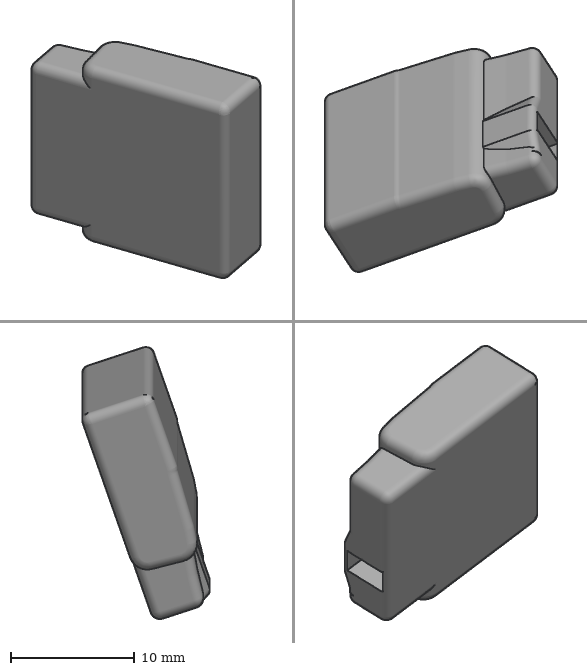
import cadquery as cq
import math

length = 18.6
depth = 6.1
height = 16.4

edge_radius = 0.8
end_radius = 0.65
corner_radius = 1.49
body_left = 4.61
left_lean = math.radians(4)
roof_flat_start = 12.1
roof_knee = 6.85
knee_radius = 2.23
gentle_slope = math.radians(3)
steep_slope = math.radians(8)

step_slope = math.radians(20)
step_crest_radius = 0.84
step_foot_radius = 0.63

arm_height = 14.17
arm_root = 6.7
arm_knee = 2.7
arm_knee_depth = 4.65
arm_end_slope = math.radians(5)
arm_knee_radius = 2.98

pad_center = -2.42
pad_depth = 4.98
pad_crest_width = 3.1
pad_ramp_slope = math.radians(20.3)
pad_foot_depth = 4.28
ledge_depth = 4.43
ledge_bottom = -5.9
pad_base_depth = 2.79
pad_radius = 0.63

slot_height = 2.15
slot_front = 0.52
slot_rear = pad_depth - pad_radius
slot_length = 3.72


def round_upright_edge(solid, point, radius):
    """Round the Z-parallel edge that passes through an XY point."""
    return solid.edges("|Z").edges(cq.selectors.NearestToPointSelector((*point, 0))).fillet(radius)


def arc_offset(radius, start_slope, end_slope):
    """XY travel along an arc whose slope changes from start_slope to end_slope."""
    along = radius * abs(math.sin(end_slope) - math.sin(start_slope))
    rise = radius * abs(math.cos(end_slope) - math.cos(start_slope))
    return along, rise


def add_knee(outline, knee, radius, right_slope, left_slope):
    """Continue an outline toward -X through a rounded corner between two shallow slopes."""
    setback = radius * math.tan(abs(left_slope - right_slope) / 2)
    arc_start = (knee[0] + setback * math.cos(right_slope), knee[1] + setback * math.sin(right_slope))
    arc_end = (knee[0] - setback * math.cos(left_slope), knee[1] - setback * math.sin(left_slope))
    return outline.lineTo(*arc_start).tangentArcPoint(arc_end, relative=False)


def make_body():
    crest_run, crest_rise = arc_offset(step_crest_radius, step_slope, 0)
    foot_run, foot_rise = arc_offset(step_foot_radius, gentle_slope, step_slope)
    step_middle = (roof_flat_start - crest_run, depth - crest_rise)
    step_foot = (step_middle[0] - foot_run, step_middle[1] - foot_rise)

    knee_depth = step_foot[1] - (step_foot[0] - roof_knee) * math.tan(gentle_slope)
    knee = (roof_knee, knee_depth)

    lean = math.tan(left_lean)
    steep = math.tan(steep_slope)
    shoulder_depth = (knee_depth - steep * (roof_knee - body_left)) / (1 + steep * lean)
    shoulder = (body_left - shoulder_depth * lean, shoulder_depth)
    front_corner = (body_left, 0)

    outline = cq.Workplane("XY").moveTo(*front_corner).lineTo(length, 0).lineTo(length, depth)
    outline = outline.lineTo(roof_flat_start, depth)
    outline = outline.tangentArcPoint(step_middle, relative=False)
    outline = outline.tangentArcPoint(step_foot, relative=False)
    outline = add_knee(outline, knee, knee_radius, gentle_slope, steep_slope)
    body = outline.lineTo(*shoulder).close().extrude(height / 2, both=True)

    body = round_upright_edge(body, front_corner, corner_radius)
    body = round_upright_edge(body, shoulder, corner_radius)
    body = body.faces("<Z or >Z").edges().fillet(edge_radius)
    return body.faces(">X").edges("|Z").fillet(end_radius)


def make_arm():
    end_depth = arm_knee_depth - arm_knee * math.tan(arm_end_slope)
    root_depth = arm_knee_depth + (arm_root - arm_knee) * math.tan(steep_slope)
    outline = cq.Workplane("XY").lineTo(arm_root, 0).lineTo(arm_root, root_depth)
    outline = add_knee(outline, (arm_knee, arm_knee_depth), arm_knee_radius, steep_slope, arm_end_slope)
    arm = outline.lineTo(0, end_depth).close().extrude(arm_height / 2, both=True)
    return arm.faces("<X or <Z or >Z").edges("not(>X)").fillet(edge_radius)


def make_pad():
    crest = pad_crest_width / 2
    foot = crest + (pad_depth - pad_foot_depth) / math.tan(pad_ramp_slope)
    ledge = crest + (pad_depth - ledge_depth) / math.tan(pad_ramp_slope)
    outline = [
        (pad_base_depth, ledge_bottom),
        (ledge_depth, ledge_bottom),
        (ledge_depth, pad_center - ledge),
        (pad_depth, pad_center - crest),
        (pad_depth, pad_center + crest),
        (pad_foot_depth, pad_center + foot),
        (pad_base_depth, pad_center + foot),
    ]
    pad = cq.Workplane("YZ").polyline(outline).close().extrude(arm_root)
    return pad.faces("<X").edges("not (|Y or <Y)").fillet(pad_radius)


def make_slot():
    slot_width = slot_rear - slot_front
    slot = cq.Workplane("XY").box(slot_length, slot_width, slot_height, centered=(False, False, True))
    return slot.translate((0, slot_front, pad_center))


result = make_body().union(make_arm()).union(make_pad()).cut(make_slot())